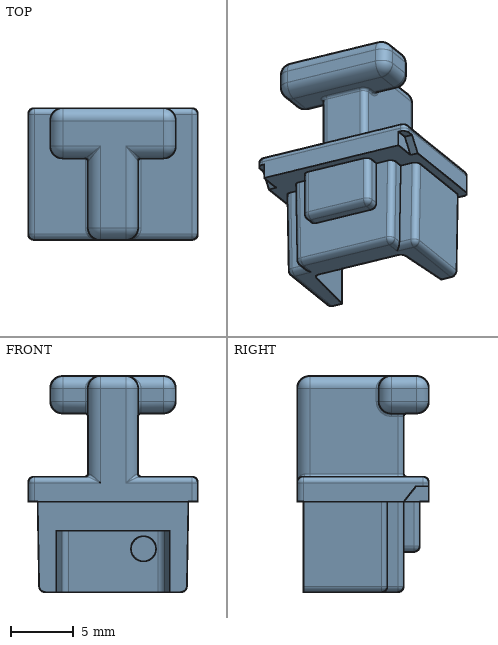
import cadquery as cq
import math


plate_width = 13.5
plate_depth = 10.5
total_height = 17.2
front_y = -plate_depth / 2
rear_y = plate_depth / 2

handle_round = 1.0
edge_round = 0.5
joint_round = 0.2

bar_width = 10.0
bar_depth = 4.0
bar_height = 3.0
bar_front_y = rear_y - bar_depth
bar_base_z = total_height - bar_height
stem_width = 4.0
stem_depth = 8.5
stem_rear_y = front_y + stem_depth

plug_height = 7.2
plate_thickness = 2.0
plate_top_z = plug_height + plate_thickness
stem_base_z = plug_height + plate_thickness / 2

relief_width = 0.65
relief_height = 1.2
relief_flat_depth = 1.05
relief_slope_depth = plate_depth - stem_depth

plug_width = 12.0
plug_draft = 1.0
plug_front_y = front_y + edge_round
plug_rear_y = stem_rear_y
rear_block_width = 9.0
rear_block_step = 1.3

pocket_width = 9.0
pocket_height = 4.9
pocket_depth = 5.5
pocket_draft = 5.0
pocket_floor_y = plug_front_y + pocket_depth

recess_radius = 1.0
recess_depth = 0.5
recess_x = 2.43
recess_z = 3.45

key_width = 6.0
key_height = 4.0
key_setback = 0.72
key_rear_y = rear_y - key_setback


def block(width, y_start, y_end, z_start, z_end):
    """A box centred on X = 0 between the given Y and Z limits."""
    return cq.Workplane("XY").box(
        width, y_end - y_start, z_end - z_start, centered=(True, False, False)
    ).translate((0, y_start, z_start))


def make_handle():
    bar = block(bar_width, bar_front_y, rear_y, bar_base_z, total_height)
    bar = bar.edges().fillet(handle_round)
    stem = block(stem_width, front_y, stem_rear_y, stem_base_z, total_height)
    stem = stem.edges("|Z and >Y").fillet(edge_round)
    stem = stem.edges("(|Z and <Y) or (>Z and (not >Y))").fillet(handle_round)
    handle = bar.union(stem)

    joint_corner = (stem_width / 2, bar_front_y, total_height - bar_height / 2)
    joint_edge = cq.selectors.NearestToPointSelector(joint_corner)
    return handle.edges(joint_edge).fillet(joint_round)


def make_plate():
    plate = block(plate_width, front_y, rear_y, plug_height, plate_top_z)
    plate = plate.edges("|Z or >Z").fillet(edge_round)
    relief_base_y = rear_y - relief_slope_depth
    relief = (
        cq.Workplane("YZ")
        .moveTo(relief_base_y, plug_height)
        .lineTo(rear_y - relief_flat_depth, plug_height + relief_height)
        .lineTo(rear_y, plug_height + relief_height)
        .lineTo(rear_y, plug_height)
        .close()
        .extrude(relief_width)
    )
    for start_x in (-plate_width / 2, plate_width / 2 - relief_width):
        plate = plate.cut(relief.translate((start_x, 0, 0)))
    return plate


def fillet_stem_foot(body):
    """Round the inner edge where the stem meets the top of the plate."""
    foot_half_width = stem_width / 2 + joint_round
    foot_edges = cq.selectors.BoxSelector(
        (-foot_half_width, front_y, plate_top_z - joint_round),
        (foot_half_width, stem_rear_y + joint_round, plate_top_z + joint_round),
        boundingbox=True,
    )
    return body.edges(foot_edges).fillet(joint_round)


def plug_block(width, y_start, y_end):
    """A plug block with drafted sides and rounded rear and lower edges; the front stays sharp."""
    half_width = width / 2
    base_half_width = half_width - plug_height * math.tan(math.radians(plug_draft))
    body = (
        cq.Workplane("XZ", origin=(0, y_end, 0))
        .moveTo(-base_half_width, 0)
        .lineTo(base_half_width, 0)
        .lineTo(half_width, plug_height)
        .lineTo(-half_width, plug_height)
        .close()
        .extrude(y_end - y_start)
    )
    return body.edges("(>Y or <Z) and (not <Y) and (not >Z)").fillet(edge_round)


def make_plug():
    front_block = plug_block(plug_width, plug_front_y, plug_rear_y - rear_block_step)
    rear_block = plug_block(rear_block_width, plug_front_y, plug_rear_y)
    return front_block.union(rear_block)


def make_pocket():
    """Pocket open to the front and below, narrowing to a floor with rounded corners."""
    half_width = pocket_width / 2
    floor_half_width = half_width - pocket_depth * math.tan(math.radians(pocket_draft))
    pocket = (
        cq.Workplane("XY")
        .moveTo(-half_width, plug_front_y)
        .lineTo(half_width, plug_front_y)
        .lineTo(floor_half_width, pocket_floor_y)
        .lineTo(-floor_half_width, pocket_floor_y)
        .close()
        .extrude(pocket_height)
    )
    return pocket.edges("|Z and >Y").fillet(edge_round)


def make_recess():
    return (
        cq.Workplane("XZ", origin=(recess_x, pocket_floor_y + recess_depth, recess_z))
        .circle(recess_radius)
        .extrude(recess_depth)
    )


def make_key():
    key = block(key_width, plug_rear_y - edge_round, key_rear_y, plug_height - key_height, plug_height)
    return key.edges("(|Z and >Y) or (<Z and (not <Y))").fillet(edge_round)


upper = fillet_stem_foot(make_handle().union(make_plate()))
plug = make_plug().cut(make_pocket()).cut(make_recess())
result = upper.union(plug).union(make_key()).solids()